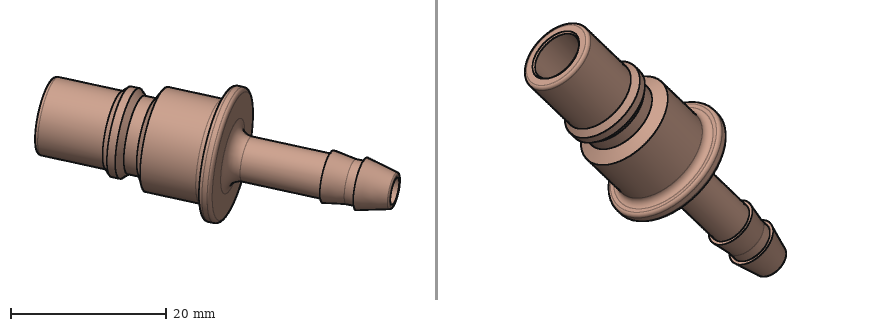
import cadquery as cq
import math

LENGTH = 47.25

PLUG_RADIUS = 10.4 / 2
PLUG_EDGE_ROUND = 0.45
RING_RADIUS = 12.0 / 2
RING_START = 9.3
RING_LAND_START = 10.15
RING_LAND_END = 11.3
RING_END = 12.2

BODY_RADIUS = 13.9 / 2
BODY_START = 13.95
BODY_CONE_LENGTH = 1.05
FLANGE_RADIUS = 18.0 / 2
FLANGE_START = 23.5
FLANGE_THICKNESS = 1.75
FLANGE_END = FLANGE_START + FLANGE_THICKNESS
FLANGE_EDGE_ROUND = 0.5
BODY_FILLET = 1.0

STEM_RADIUS = 6.0 / 2
STEM_FILLET = 2.0
BARB_RADIUS = 7.0 / 2
INNER_BARB_START = 38.23
INNER_BARB_END = 41.35
TIP_BARB_START = 42.75
TIP_RADIUS = 2.4
TIP_EDGE_ROUND = 0.3

BORE_RADIUS = 7.0 / 2
BORE_DEPTH = 22.7
BORE_EDGE_CHAMFER = 0.25
HOLE_RADIUS = 3.6 / 2
BORE_CONE_HALF_ANGLE = 45.0
BORE_CONE_LENGTH = (BORE_RADIUS - HOLE_RADIUS) / math.tan(math.radians(BORE_CONE_HALF_ANGLE))


def revolve_about_x(profile):
    """Close a half profile drawn as (x, radius) and spin it about the X axis."""
    return profile.close().revolve(360, (0, 0, 0), (1, 0, 0))


def make_outside():
    profile = (
        cq.Workplane("XY")
        .lineTo(0, PLUG_RADIUS - PLUG_EDGE_ROUND)
        .radiusArc((PLUG_EDGE_ROUND, PLUG_RADIUS), PLUG_EDGE_ROUND)
        .lineTo(RING_START, PLUG_RADIUS)
        .lineTo(RING_LAND_START, RING_RADIUS)
        .lineTo(RING_LAND_END, RING_RADIUS)
        .lineTo(RING_END, PLUG_RADIUS)
        .lineTo(BODY_START, PLUG_RADIUS)
        .lineTo(BODY_START + BODY_CONE_LENGTH, BODY_RADIUS)
        .lineTo(FLANGE_START - BODY_FILLET, BODY_RADIUS)
        .radiusArc((FLANGE_START, BODY_RADIUS + BODY_FILLET), -BODY_FILLET)
        .lineTo(FLANGE_START, FLANGE_RADIUS - FLANGE_EDGE_ROUND)
        .radiusArc((FLANGE_START + FLANGE_EDGE_ROUND, FLANGE_RADIUS), FLANGE_EDGE_ROUND)
        .lineTo(FLANGE_END - FLANGE_EDGE_ROUND, FLANGE_RADIUS)
        .radiusArc((FLANGE_END, FLANGE_RADIUS - FLANGE_EDGE_ROUND), FLANGE_EDGE_ROUND)
        .lineTo(FLANGE_END, STEM_RADIUS + STEM_FILLET)
        .radiusArc((FLANGE_END + STEM_FILLET, STEM_RADIUS), -STEM_FILLET)
        .lineTo(INNER_BARB_START, STEM_RADIUS)
        .lineTo(INNER_BARB_START, BARB_RADIUS)
        .lineTo(INNER_BARB_END, STEM_RADIUS)
        .lineTo(TIP_BARB_START, STEM_RADIUS)
        .lineTo(TIP_BARB_START, BARB_RADIUS)
        .lineTo(LENGTH, TIP_RADIUS)
        .lineTo(LENGTH, 0)
    )
    return revolve_about_x(profile).faces(">X").edges().fillet(TIP_EDGE_ROUND)


def make_bore():
    profile = (
        cq.Workplane("XY")
        .lineTo(0, BORE_RADIUS + BORE_EDGE_CHAMFER)
        .lineTo(BORE_EDGE_CHAMFER, BORE_RADIUS)
        .lineTo(BORE_DEPTH, BORE_RADIUS)
        .lineTo(BORE_DEPTH + BORE_CONE_LENGTH, HOLE_RADIUS)
        .lineTo(LENGTH, HOLE_RADIUS)
        .lineTo(LENGTH, 0)
    )
    return revolve_about_x(profile)


result = make_outside().cut(make_bore())